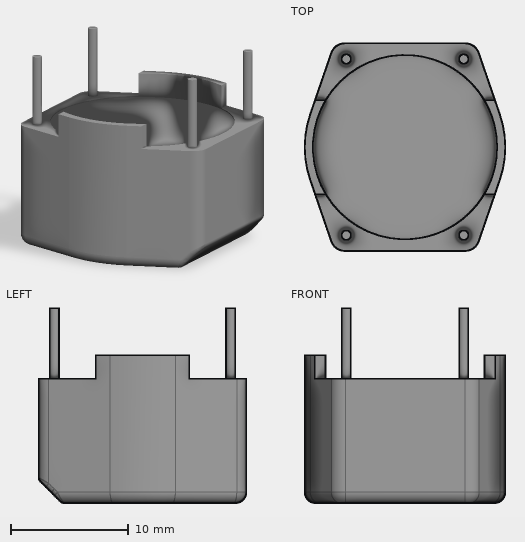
import math

import cadquery as cq

body_width = 17.1
body_length = 17.7
end_width = 12.0
corner_radius = 1.25
bottom_radius = 0.95

shelf_height = 10.61
rim_height = 2.0
rim_length = 8.0
pin_height = 6.0

well_diameter = 15.7
well_depth = 0.1

pin_diameter = 0.8
pin_spacing_x = 10.0
pin_spacing_y = 15.0
pin_embedding = 1.0

bevel_size = 2.0
bevel_edge_radius = 0.5


def make_outline():
    """Closed outline whose flanks run tangent to the bulged sides."""
    radius = body_width / 2
    corner_x = end_width / 2
    corner_y = body_length / 2
    corner_angle = math.atan2(corner_y, corner_x)
    tangent_angle = corner_angle - math.acos(radius / math.hypot(corner_x, corner_y))
    tangent_x = radius * math.cos(tangent_angle)
    tangent_y = radius * math.sin(tangent_angle)
    return (
        cq.Workplane("XY")
        .moveTo(-corner_x, -corner_y)
        .lineTo(corner_x, -corner_y)
        .lineTo(tangent_x, -tangent_y)
        .threePointArc((radius, 0), (tangent_x, tangent_y))
        .lineTo(corner_x, corner_y)
        .lineTo(-corner_x, corner_y)
        .lineTo(-tangent_x, tangent_y)
        .threePointArc((-radius, 0), (-tangent_x, -tangent_y))
        .close()
    )


def make_body():
    """Block up to the rim top, with rounded corners and bottom edge."""
    block = make_outline().extrude(shelf_height + rim_height)
    block = block.edges("|Z and (>Y or <Y)").fillet(corner_radius)
    return block.faces("<Z").edges().fillet(bottom_radius)


def cut_bevel(body):
    """Slope off the +Y bottom edge at 45 degrees and round the slope's border."""
    end_y = body_length / 2
    wedge = (
        cq.Workplane("YZ")
        .moveTo(end_y, bevel_size)
        .lineTo(end_y - bevel_size, 0)
        .lineTo(end_y, 0)
        .close()
        .extrude(body_width / 2, both=True)
    )
    bevel_normal = cq.Vector(0, 1, -1)
    bevel_face = cq.selectors.ParallelDirSelector(bevel_normal)
    return body.cut(wedge).faces(bevel_face).edges().fillet(bevel_edge_radius)


def cut_shelves(body):
    """Lower both ends to the shelf, leaving the rim tabs at the sides."""
    shelf_length = (body_length - rim_length) / 2
    for side in (-1, 1):
        end_block = (
            cq.Workplane("XY")
            .workplane(offset=shelf_height)
            .center(0, side * (rim_length + shelf_length) / 2)
            .rect(body_width, shelf_length)
            .extrude(rim_height)
        )
        body = body.cut(end_block)
    return body


def cut_well(body):
    """Sink the round well, which also forms the inner walls of the rim tabs."""
    well = (
        cq.Workplane("XY")
        .workplane(offset=shelf_height - well_depth)
        .circle(well_diameter / 2)
        .extrude(well_depth + rim_height)
    )
    return body.cut(well)


def add_pins(body):
    """Stand the four pins on the shelf, with their feet sunk into the body."""
    pins = (
        cq.Workplane("XY")
        .workplane(offset=shelf_height - pin_embedding)
        .rarray(pin_spacing_x, pin_spacing_y, 2, 2)
        .circle(pin_diameter / 2)
        .extrude(pin_embedding + pin_height)
    )
    return body.union(pins)


body = make_body()
body = cut_bevel(body)
body = cut_shelves(body)
body = cut_well(body)
result = add_pins(body)